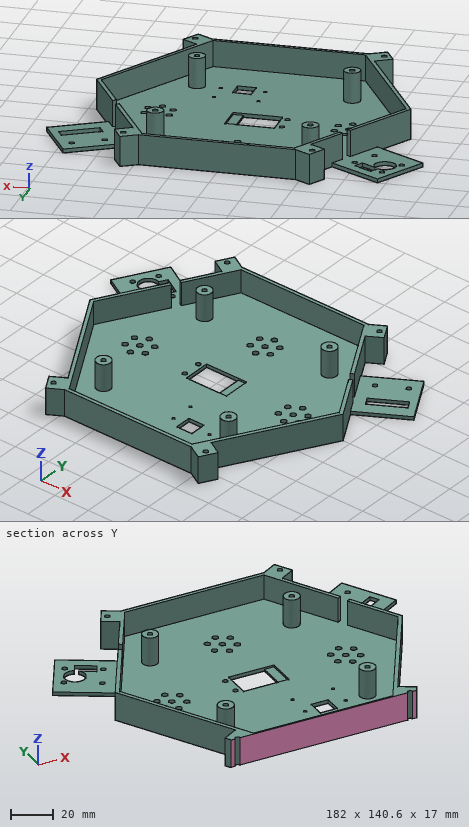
import cadquery as cq
import math

corner_radius = 76.0
apothem = corner_radius * math.cos(math.radians(30))
wall = 2.0
floor = 2.0
tray_height = 15.0
face_half = corner_radius / 2

ear_reach = 9.0
ear_width = 10.0
ear_hole_d = 2.5
ear_hole_inset = 3.0

post_d = 8.0
post_hole_d = 2.5
post_top = 17.0
post_spacing = 75.0

vent_d = 3.0
vent_ring_radius = 7.0
side_vent_x = 46.0
rear_vent_y = 36.0

window_length = 24.0
window_width = 15.0
ledge_length = 5.0
ledge_depth = 1.0
window_hole_d = 2.5
window_hole_x = -15.0
window_hole_spacing = 10.0

sensor_size = 9.0
sensor_x = 14.6
sensor_y = -37.5
sensor_hole_d = 1.5
sensor_hole_xs = (4.5, 26.0)
sensor_hole_ys = (-37.5, -25.0)

left_side = 150.0
right_side = 30.0
tab_reach = 30.0
tab_width = 30.0
tab_thickness = 2.0
tab_offset = -1.0
tab_hole_d = 2.5
wire_gap = 5.0

left_gap_along = 4.5
round_opening_d = 10.5
round_opening_out = 20.0
left_hole_outs = (7.0, 25.0)
left_hole_alongs = (-7.0, 6.0)
left_slot_length = 10.5
left_slot_width = 5.0
left_slot_out = 15.25
left_slot_along = 6.5

right_gap_along = -6.5
right_hole_outs = (8.0, 24.0)
right_hole_along = 7.0
right_slot_length = 20.0
right_slot_out = 16.0


def hexagon(across_apothem, bottom, top):
    """Hexagonal prism with flats facing +Y and -Y."""
    diameter = 2 * across_apothem / math.cos(math.radians(30))
    return cq.Workplane("XY").workplane(offset=bottom).polygon(6, diameter).extrude(top - bottom)


def block(length, width, x, y, bottom, top):
    """Upright box centred on (x, y)."""
    return cq.Workplane("XY").box(length, width, top - bottom, centered=(True, True, False)).translate(
        (x, y, bottom)
    )


def pin(diameter, points, bottom, top):
    """Upright cylinders centred on the given points."""
    return (
        cq.Workplane("XY").workplane(offset=bottom).pushPoints(points).circle(diameter / 2).extrude(top - bottom)
    )


def onto_side(shape, angle, mirrored=False):
    """Place a shape drawn in tab coordinates on the side facing the given angle."""
    if mirrored:
        shape = shape.mirror("XZ")
    return shape.translate((apothem, 0, 0)).rotate((0, 0, 0), (0, 0, 1), angle)


def grid(xs, ys):
    return [(x, y) for x in xs for y in ys]


def tray():
    return hexagon(apothem, 0, tray_height).cut(hexagon(apothem - wall, floor, tray_height))


def ear():
    """Ear on the right rear side, flush with its upper corner."""
    along = face_half - ear_width / 2
    root = wall
    body = block(ear_reach + root, ear_width, (ear_reach - root) / 2, along, 0, tray_height)
    body = body.cut(pin(ear_hole_d, [(ear_reach - ear_hole_inset, along)], 0, tray_height))
    return onto_side(body, right_side).cut(hexagon(apothem - wall, floor, tray_height))


def add_ears(body):
    right_rear = ear()
    left_rear = right_rear.mirror("YZ")
    for rear in (right_rear, left_rear):
        body = body.union(rear).union(rear.mirror("XZ"))
    return body


def tab_plate():
    return block(tab_reach + wall, tab_width, (tab_reach - wall) / 2, tab_offset, 0, tab_thickness)


def wall_gap(along):
    return block(3 * wall, wire_gap, -wall / 2, along, floor, tray_height)


def left_cutouts():
    cut = wall_gap(left_gap_along)
    cut = cut.union(pin(round_opening_d, [(round_opening_out, tab_offset)], 0, tab_thickness))
    cut = cut.union(
        block(left_slot_length, left_slot_width, left_slot_out, left_slot_along, 0, tab_thickness)
    )
    return cut.union(pin(tab_hole_d, grid(left_hole_outs, left_hole_alongs), 0, tab_thickness))


def right_cutouts():
    cut = wall_gap(right_gap_along)
    cut = cut.union(block(right_slot_length, wire_gap, right_slot_out, right_gap_along, 0, tab_thickness))
    return cut.union(pin(tab_hole_d, grid(right_hole_outs, [right_hole_along]), 0, tab_thickness))


def add_tabs(body):
    body = body.union(onto_side(tab_plate(), left_side, mirrored=True))
    body = body.union(onto_side(tab_plate(), right_side))
    body = body.cut(onto_side(left_cutouts(), left_side, mirrored=True))
    return body.cut(onto_side(right_cutouts(), right_side))


def add_posts(body):
    reach = post_spacing / 2
    points = grid((-reach, reach), (-reach, reach))
    return body.union(pin(post_d, points, 0, post_top)).cut(pin(post_hole_d, points, floor, post_top))


def cut_vents(body):
    for x, y in ((-side_vent_x, 0), (side_vent_x, 0), (0, rear_vent_y)):
        ring_angles = [math.radians(30 + 60 * step) for step in range(6)]
        ring = [
            (x + vent_ring_radius * math.cos(angle), y + vent_ring_radius * math.sin(angle))
            for angle in ring_angles
        ]
        body = body.cut(pin(vent_d, [(x, y)] + ring, 0, floor))
    return body


def cut_window(body):
    opening = block(window_length - ledge_length, window_width, -ledge_length / 2, 0, 0, floor)
    recess = block(window_length, window_width, 0, 0, floor - ledge_depth, floor)
    half = window_hole_spacing / 2
    holes = pin(window_hole_d, grid([window_hole_x], (-half, half)), 0, floor)
    return body.cut(opening).cut(recess).cut(holes)


def cut_sensor_opening(body):
    opening = block(sensor_size, sensor_size, sensor_x, sensor_y, 0, floor)
    holes = pin(sensor_hole_d, grid(sensor_hole_xs, sensor_hole_ys), 0, floor)
    return body.cut(opening).cut(holes)


result = tray()
result = add_ears(result)
result = add_tabs(result)
result = add_posts(result)
result = cut_vents(result)
result = cut_window(result)
result = cut_sensor_opening(result)